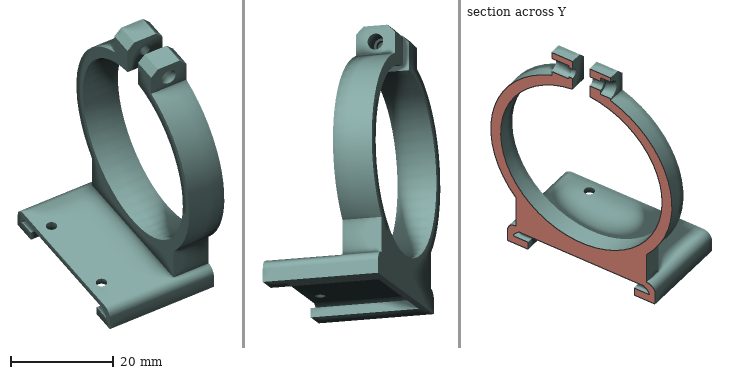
import cadquery as cq
import math

plate_width = 35.0
plate_length = 23.75
plate_height = 4.7
plate_edge_radius = 2.0
lip_height = 1.9
channel_height = 3.35
channel_mouth_width = 25.0
channel_floor_width = 32.1
channel_roof_width = 29.4
channel_side_bow = 0.15
channel_end_wall = 1.55

plate_hole_diameter = 2.2
plate_hole_spacing = 19.0
plate_hole_front_offset = 2.9

ring_outer_diameter = 42.9
ring_inner_diameter = 38.0
ring_depth = 8.0
ring_center_height = 26.6
saddle_width = 31.0

overall_height = 52.65
ear_outer_x = 7.0
split_width = 4.0
ear_chamfer = 1.55
screw_drop = 3.2
screw_hole_diameter = 2.2
counterbore_diameter = 4.1
counterbore_depth = 2.5
outer_bore_diameter = 3.2
outer_bore_depth = 4.0

ring_outer_radius = ring_outer_diameter / 2
ring_inner_radius = ring_inner_diameter / 2

back_y = ring_depth
front_y = back_y - plate_length
saddle_top = ring_center_height - math.sqrt(ring_outer_radius**2 - (saddle_width / 2) ** 2)
screw_height = overall_height - screw_drop


def block(width, y_start, y_end, z_start, z_end):
    """Box centred on x = 0 between the given y and z limits."""
    box = cq.Workplane("XY").box(width, y_end - y_start, z_end - z_start, centered=(True, False, False))
    return box.translate((0, y_start, z_start))


def ring_cylinder(radius):
    """Cylinder on the ring axis, as deep as the ring."""
    cylinder = cq.Workplane("XZ", origin=(0, back_y, ring_center_height)).circle(radius)
    return cylinder.extrude(ring_depth)


def make_plate():
    """Rounded plate with the channel closed at the back and holes near the front."""
    plate = block(plate_width, front_y, back_y, 0, plate_height)
    plate = plate.edges("|Y and >Z").fillet(plate_edge_radius)
    channel_length = plate_length - channel_end_wall
    mouth = block(channel_mouth_width, front_y, front_y + channel_length, 0, lip_height)
    side_height = channel_height - lip_height
    floor_x = channel_floor_width / 2
    roof_x = channel_roof_width / 2
    bow_offset = channel_side_bow * math.sqrt(0.5)
    bow_x = (floor_x + roof_x) / 2 + bow_offset
    bow_z = side_height / 2 + bow_offset
    undercut = (
        cq.Workplane("XZ", origin=(0, front_y + channel_length, lip_height))
        .moveTo(-floor_x, 0)
        .lineTo(floor_x, 0)
        .threePointArc((bow_x, bow_z), (roof_x, side_height))
        .lineTo(-roof_x, side_height)
        .threePointArc((-bow_x, bow_z), (-floor_x, 0))
        .close()
        .extrude(channel_length)
    )
    hole_y = front_y + plate_hole_front_offset
    holes = (
        cq.Workplane("XY")
        .pushPoints([(-plate_hole_spacing / 2, hole_y), (plate_hole_spacing / 2, hole_y)])
        .circle(plate_hole_diameter / 2)
        .extrude(plate_height)
    )
    return plate.cut(mouth).cut(undercut).cut(holes)


def make_ears():
    """Single chamfered block above the ring, later divided by the split."""
    ears = block(2 * ear_outer_x, 0, back_y, ring_center_height, overall_height)
    return ears.edges("|X and >Z").chamfer(ear_chamfer)


def make_screw_hole():
    """Clearance hole through both ears with a counterbore in the -X ear and a wider bore in the +X ear."""
    start = cq.Workplane("YZ", origin=(-ear_outer_x, ring_depth / 2, screw_height))
    hole = start.circle(screw_hole_diameter / 2).extrude(2 * ear_outer_x)
    counterbore = start.circle(counterbore_diameter / 2).extrude(counterbore_depth)
    outer_bore_start = start.workplane(offset=2 * ear_outer_x - outer_bore_depth)
    outer_bore = outer_bore_start.circle(outer_bore_diameter / 2).extrude(outer_bore_depth)
    return hole.union(counterbore).union(outer_bore)


def make_clamp():
    """Ring, saddle and ears, bored and split at the top."""
    saddle = block(saddle_width, 0, back_y, plate_height, saddle_top)
    clamp = ring_cylinder(ring_outer_radius).union(saddle).union(make_ears())
    split = block(split_width, 0, back_y, ring_center_height, overall_height)
    return clamp.cut(ring_cylinder(ring_inner_radius)).cut(split).cut(make_screw_hole())


result = make_plate().union(make_clamp())